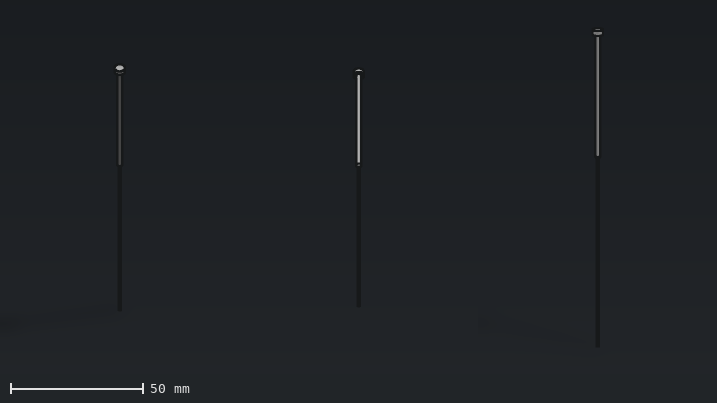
import cadquery as cq
import math

total_length = 125.0
head_diameter = 4.0
head_height = 2.0
shank_diameter = 2.0
shoulder_depth = 50.0
tip_diameter = 0.9
taper_half_angle = 30.0

head_radius = head_diameter / 2
shank_radius = shank_diameter / 2
tip_radius = tip_diameter / 2
taper_length = (shank_radius - tip_radius) / math.tan(math.radians(taper_half_angle))

head_bottom = -head_height
shank_bottom = -shoulder_depth
taper_bottom = shank_bottom - taper_length
pin_bottom = -total_length


def make_pin():
    """Revolve the half profile, drawn on the -X side, about the Z axis."""
    half_profile = (
        cq.Workplane("XZ")
        .moveTo(0, 0)
        .lineTo(-head_radius, 0)
        .lineTo(-head_radius, head_bottom)
        .lineTo(-shank_radius, head_bottom)
        .lineTo(-shank_radius, shank_bottom)
        .lineTo(-tip_radius, taper_bottom)
        .lineTo(-tip_radius, pin_bottom)
        .lineTo(0, pin_bottom)
        .close()
    )
    return half_profile.revolve(360, (0, 0, 0), (0, 1, 0))


result = make_pin()